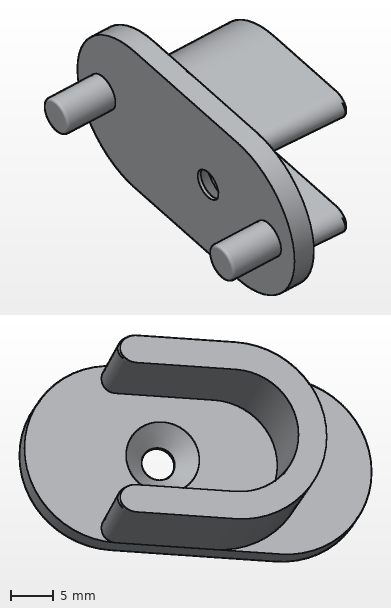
import cadquery as cq

plate_length = 42.0
plate_height = 22.0
plate_thickness = 2.9
hole_diameter = 4.0
hole_x = 4.3
hole_lip_depth = 0.45

pin_diameter = 4.8
pin_length = 7.1
pin_x = 16.0
pin_tip_radius = 0.38

wall_depth = 11.8
wall_thickness = 3.4
wall_bend_x = -1.97
tip_lip_depth = 0.35
tip_reach_rim = 2.23
tip_reach_edge = 2.0

sink_depth = plate_thickness - hole_lip_depth
sink_radius = hole_diameter / 2 + sink_depth
outer_radius = plate_height / 2
inner_radius = outer_radius - wall_thickness
arm_radius = wall_thickness / 2
arm_centre_z = outer_radius - arm_radius
arm_end_x = plate_length / 2 - outer_radius
wall_back_y = plate_thickness + wall_depth
rim_y = wall_back_y - tip_lip_depth


def facing_back(y):
    """XZ workplane at the given y whose extrusions grow toward +Y (local x = -X, local y = Z)."""
    return cq.Workplane(cq.Plane(origin=(0, y, 0), xDir=(-1, 0, 0), normal=(0, 1, 0)))


def make_plate():
    stadium = facing_back(0).slot2D(plate_length, plate_height).extrude(plate_thickness)
    hole = facing_back(0).center(-hole_x, 0).circle(hole_diameter / 2).extrude(plate_thickness)
    countersink = cq.Workplane(
        cq.Solid.makeCone(
            hole_diameter / 2,
            sink_radius,
            sink_depth,
            pnt=cq.Vector(hole_x, hole_lip_depth, 0),
            dir=cq.Vector(0, 1, 0),
        )
    )
    return stadium.cut(hole).cut(countersink)


def make_arm_tip(start_y, start_reach, end_y, end_reach, centre_z):
    """Half-elliptical end of one arm, changing reach along Y."""
    def half_ellipse(y, reach):
        profile = facing_back(y).center(-arm_end_x, centre_z).moveTo(0, arm_radius)
        profile = profile.ellipseArc(reach, arm_radius, 90, 270, startAtCurrent=True).close()
        return profile.val()

    sections = [half_ellipse(start_y, start_reach), half_ellipse(end_y, end_reach)]
    return cq.Workplane(cq.Solid.makeLoft(sections, True))


def make_wall():
    wall = (
        facing_back(plate_thickness)
        .moveTo(-arm_end_x, outer_radius)
        .lineTo(-wall_bend_x, outer_radius)
        .threePointArc((outer_radius - wall_bend_x, 0), (-wall_bend_x, -outer_radius))
        .lineTo(-arm_end_x, -outer_radius)
        .lineTo(-arm_end_x, -inner_radius)
        .lineTo(-wall_bend_x, -inner_radius)
        .threePointArc((inner_radius - wall_bend_x, 0), (-wall_bend_x, inner_radius))
        .lineTo(-arm_end_x, inner_radius)
        .close()
        .extrude(wall_depth)
    )
    for centre_z in (arm_centre_z, -arm_centre_z):
        flare = make_arm_tip(plate_thickness, arm_radius, rim_y, tip_reach_rim, centre_z)
        lip = make_arm_tip(rim_y, tip_reach_rim, wall_back_y, tip_reach_edge, centre_z)
        wall = wall.union(flare).union(lip)
    return wall


def make_pin(x):
    pin = facing_back(-pin_length).center(-x, 0).circle(pin_diameter / 2).extrude(pin_length)
    return pin.faces("<Y").edges().fillet(pin_tip_radius)


plate = make_plate().solids()
wall = make_wall().solids()
pins = [make_pin(x).solids().val() for x in (-pin_x, pin_x)]

result = cq.Compound.makeCompound([plate.val(), wall.val(), *pins])